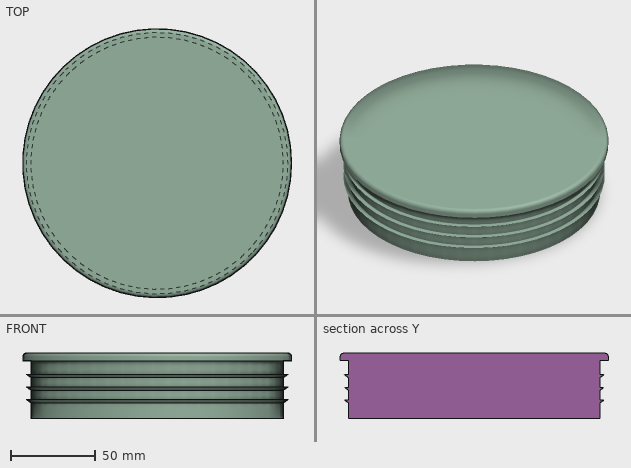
import cadquery as cq

flange_diameter = 160.0
plug_diameter = 150.0
fin_diameter = 155.5
total_height = 39.0
flange_thickness = 4.8
flange_edge_radius = 2.4
fin_height = 2.0
fin_count = 3
fin_pitch = 7.5
lowest_fin_top = 11.2


def make_flange():
    """Round cover with a rounded upper edge."""
    flange = (
        cq.Workplane("XY")
        .workplane(offset=total_height - flange_thickness)
        .circle(flange_diameter / 2)
        .extrude(flange_thickness)
    )
    return flange.faces(">Z").edges().fillet(flange_edge_radius)


def make_plug():
    """Cylinder below the flange, with its bottom face at Z = 0."""
    plug_height = total_height - flange_thickness
    return cq.Workplane("XY").circle(plug_diameter / 2).extrude(plug_height)


def make_fin(top_z):
    """Sealing fin: flat on top, tapering inward underneath to the plug wall."""
    plug_radius = plug_diameter / 2
    bottom_z = top_z - fin_height
    return (
        cq.Workplane("XZ")
        .moveTo(0, bottom_z)
        .lineTo(plug_radius, bottom_z)
        .lineTo(fin_diameter / 2, top_z)
        .lineTo(0, top_z)
        .close()
        .revolve(360, (0, 0, 0), (0, 1, 0))
    )


result = make_plug().union(make_flange())
for fin_index in range(fin_count):
    result = result.union(make_fin(lowest_fin_top + fin_index * fin_pitch))